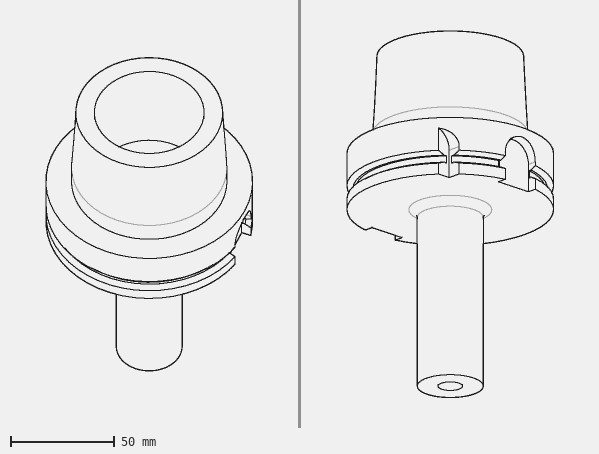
import cadquery as cq

total_height = 170.0
flange_bottom = 91.0
flange_top = 120.0
collar_top = 130.0

shank_radius = 16.0
selection_margin = 1.7
neck_fillet = 4.0
flange_radius = 50.0
collar_radius = 37.5
taper_top_radius = 35.5

groove_bottom = 98.1
groove_top = 101.7
groove_radius = 45.9
lip_radius = 47.1
lip_height = 1.5

socket_radius = 26.5
socket_floor = flange_top
through_radius = 6.0

slot_radius = 10.0
slot_overrun = 1.7
slot_apex = 115.1
key_floor = 44.2
notch_floor = 32.0
notch_center_y = 41.3


def make_body():
    """Shank, grooved flange, collar and taper turned about Z."""
    profile = (
        cq.Workplane("XZ")
        .lineTo(shank_radius, 0)
        .lineTo(shank_radius, flange_bottom)
        .lineTo(flange_radius, flange_bottom)
        .lineTo(flange_radius, groove_bottom - lip_height)
        .lineTo(lip_radius, groove_bottom)
        .lineTo(groove_radius, groove_bottom)
        .lineTo(groove_radius, groove_top)
        .lineTo(lip_radius, groove_top)
        .lineTo(flange_radius, groove_top + lip_height)
        .lineTo(flange_radius, flange_top)
        .lineTo(collar_radius, flange_top)
        .lineTo(collar_radius, collar_top)
        .lineTo(taper_top_radius, total_height)
        .lineTo(0, total_height)
        .close()
    )
    body = profile.revolve(360, (0, 0), (0, 1))
    reach = shank_radius + selection_margin
    neck_edge = cq.selectors.BoxSelector(
        (-reach, -reach, flange_bottom - selection_margin),
        (reach, reach, flange_bottom + selection_margin),
        boundingbox=True,
    )
    return body.edges(neck_edge).fillet(neck_fillet)


def bore(radius, bottom):
    """Cylinder on the Z axis from the given height to the top."""
    return cq.Workplane("XY", origin=(0, 0, bottom)).circle(radius).extrude(total_height - bottom)


def arched_slot(floor_distance, center_y):
    """Round-topped cutter on the -X side, open at the flange underside."""
    spring_height = slot_apex - slot_radius
    return (
        cq.Workplane("YZ", origin=(-floor_distance, 0, 0))
        .moveTo(center_y - slot_radius, flange_bottom)
        .lineTo(center_y - slot_radius, spring_height)
        .threePointArc((center_y, slot_apex), (center_y + slot_radius, spring_height))
        .lineTo(center_y + slot_radius, flange_bottom)
        .close()
        .extrude(floor_distance - flange_radius - slot_overrun)
    )


result = make_body()
result = result.cut(bore(socket_radius, socket_floor)).cut(bore(through_radius, 0))

key_slot = arched_slot(key_floor, 0)
result = result.cut(key_slot)
result = result.cut(key_slot.rotate((0, 0, 0), (0, 0, 1), 180))

result = result.cut(arched_slot(notch_floor, notch_center_y))